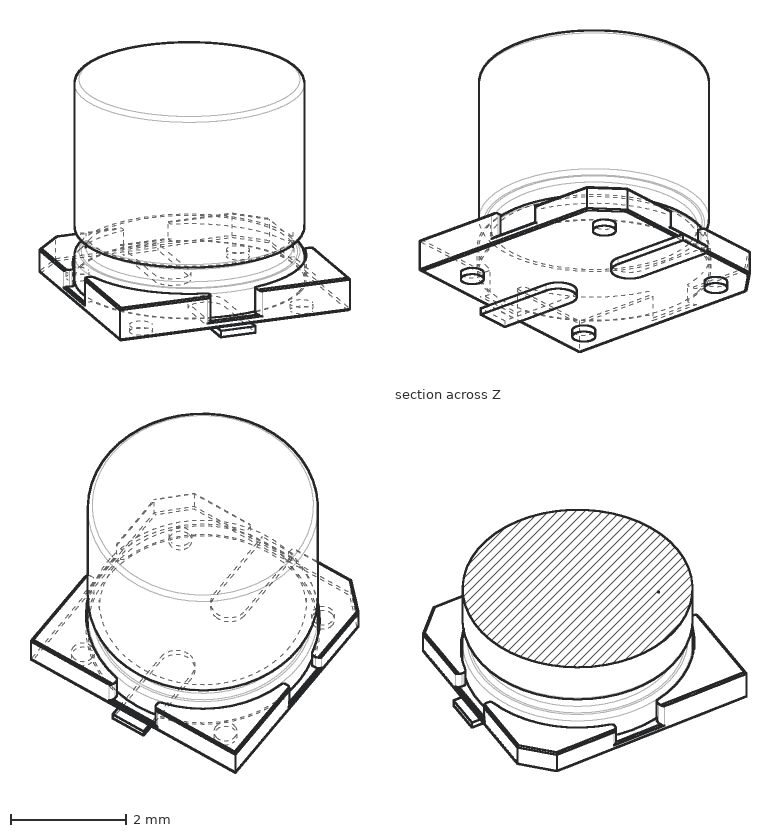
import cadquery as cq
import math

total_height = 3.95
base_side = 4.3
terminal_span = 4.6

standoff = 0.12
floor_z = 0.26
low_block_z = 0.57
high_block_z = 0.72
corner_chamfer = 0.5
pocket_radius = 2.03
notch_width = 0.86
outer_tip_radius = 0.08
inner_tip_radius = 0.05
rim_size = 0.03

can_radius = 2.0
neck_radius = 1.8
can_edge_radius = 0.08
groove_bottom_z = 0.78
groove_top_z = 1.17

terminal_width = 0.65
terminal_gap = 0.98
foot_diameter = 0.4
foot_offset = 1.5

half_side = base_side / 2


def base_prism(bottom_z, top_z):
    """Square base outline with both -X corners cut, between two heights."""
    prism = cq.Workplane("XY", origin=(0, 0, bottom_z)).rect(base_side, base_side).extrude(top_z - bottom_z)
    return prism.edges("|Z and <X").chamfer(corner_chamfer)


def broken_prism(top_z):
    """Base outline from the standoff height up, with broken top and bottom rims."""
    return base_prism(standoff, top_z).faces("<Z or >Z").edges().chamfer(rim_size)


def corner_block(x_sign, y_sign, top_z):
    """One raised corner block with its tips rounded beside the notches."""
    bottom_z = floor_z - rim_size
    height = top_z - bottom_z
    half_notch = notch_width / 2
    block_size = half_side - half_notch
    center = half_notch + block_size / 2
    region = (
        cq.Workplane("XY", origin=(x_sign * center, y_sign * center, bottom_z))
        .rect(block_size, block_size)
        .extrude(height)
    )
    pocket = cq.Workplane("XY", origin=(0, 0, bottom_z)).circle(pocket_radius).extrude(height)
    block = base_prism(bottom_z, top_z).intersect(region).cut(pocket)

    pocket_meet = math.sqrt(pocket_radius**2 - half_notch**2)
    middle_z = bottom_z + height / 2
    for distance, radius in ((half_side, outer_tip_radius), (pocket_meet, inner_tip_radius)):
        for x, y in ((half_notch, distance), (distance, half_notch)):
            tip = cq.selectors.NearestToPointSelector((x_sign * x, y_sign * y, middle_z))
            block = block.edges("|Z").edges(tip).fillet(radius)
    return block.intersect(broken_prism(top_z))


def plastic_base():
    """Base plate with four corner blocks and broken outer edges."""
    base = broken_prism(floor_z)
    for y_sign in (-1, 1):
        base = base.union(corner_block(-1, y_sign, low_block_z))
        base = base.union(corner_block(1, y_sign, high_block_z))
    return base


def can():
    """Turned can with a rounded top rim and a necked groove above the base."""
    lip_radius = can_radius - can_edge_radius
    root_radius = neck_radius + can_edge_radius
    corner = can_edge_radius
    profile = (
        cq.Workplane("XZ")
        .moveTo(0, floor_z)
        .lineTo(can_radius, floor_z)
        .lineTo(can_radius, groove_bottom_z - corner)
        .tangentArcPoint((lip_radius, groove_bottom_z), relative=False)
        .lineTo(root_radius, groove_bottom_z)
        .tangentArcPoint((neck_radius, groove_bottom_z + corner), relative=False)
        .lineTo(neck_radius, groove_top_z - corner)
        .tangentArcPoint((root_radius, groove_top_z), relative=False)
        .lineTo(lip_radius, groove_top_z)
        .tangentArcPoint((can_radius, groove_top_z + corner), relative=False)
        .lineTo(can_radius, total_height - corner)
        .tangentArcPoint((lip_radius, total_height), relative=False)
        .lineTo(0, total_height)
        .close()
    )
    return profile.revolve(360, (0, 0, 0), (0, 1, 0))


def terminal(x_sign):
    """Flat terminal with a square outer end and a full-round inner end."""
    end_radius = terminal_width / 2
    inner_center = terminal_gap / 2 + end_radius
    outer_end = terminal_span / 2
    return (
        cq.Workplane("XY")
        .moveTo(x_sign * outer_end, -end_radius)
        .lineTo(x_sign * inner_center, -end_radius)
        .threePointArc((x_sign * terminal_gap / 2, 0), (x_sign * inner_center, end_radius))
        .lineTo(x_sign * outer_end, end_radius)
        .close()
        .extrude(standoff)
    )


def feet():
    """Four round standoff feet under the base."""
    return (
        cq.Workplane("XY")
        .rect(2 * foot_offset, 2 * foot_offset, forConstruction=True)
        .vertices()
        .circle(foot_diameter / 2)
        .extrude(standoff)
    )


result = plastic_base().union(can()).union(terminal(-1)).union(terminal(1)).union(feet())